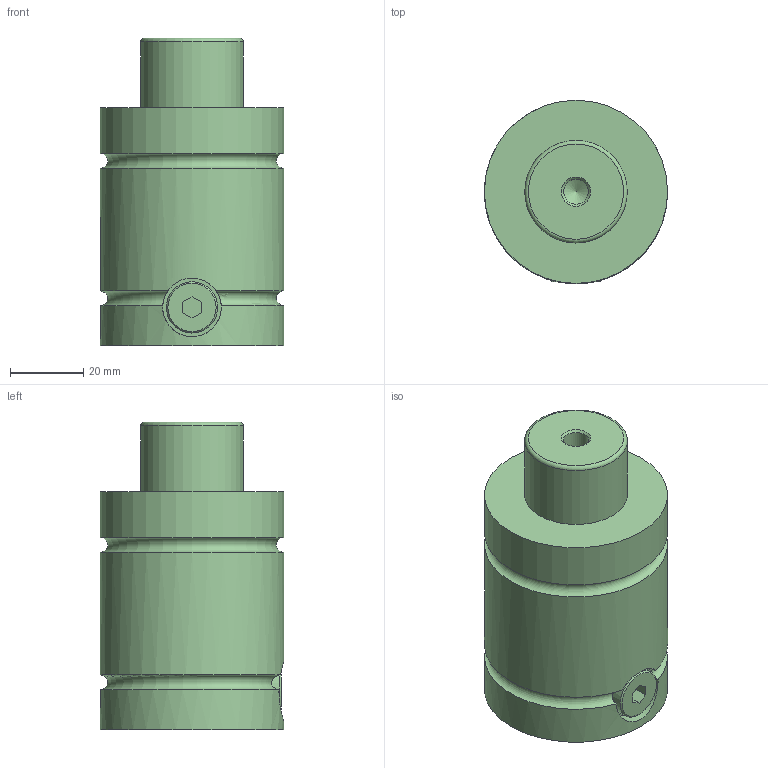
import cadquery as cq
import math

body_diameter = 50.0
body_height = 65.0
body_radius = body_diameter / 2

groove_radius = 2.0
groove_heights = (13.0, 50.5)

rod_diameter = 28.0
total_height = 84.0
rod_length = total_height - body_height
rod_edge_radius = 1.0

thread_core_diameter = 6.8
thread_mouth_diameter = 8.0
thread_hole_depth = 16.0
drill_point_angle = 118.0

port_height = 10.5
port_diameter = 16.0
port_floor_depth = 4.0
plug_diameter = 14.0
plug_recess = 0.6
plug_chamfer = 0.4
socket_across_flats = 5.0
socket_depth = 4.0


def make_body():
    """Plain cylinder with a semicircular groove at each groove height."""
    body = cq.Workplane("XY").circle(body_radius).extrude(body_height)
    for height in groove_heights:
        ring = cq.Solid.makeTorus(body_radius, groove_radius, cq.Vector(0, 0, height))
        body = body.cut(cq.Workplane(obj=ring))
    return body


def make_rod():
    """Piston rod with a rounded top edge."""
    rod = cq.Workplane("XY").workplane(offset=body_height).circle(rod_diameter / 2).extrude(rod_length)
    return rod.faces(">Z").edges().fillet(rod_edge_radius)


def make_thread_hole():
    """Cutter for the rod-end hole: 45 degree mouth, straight core and conical point."""
    core_radius = thread_core_diameter / 2
    mouth_radius = thread_mouth_diameter / 2
    mouth_depth = mouth_radius - core_radius
    point_length = core_radius / math.tan(math.radians(drill_point_angle / 2))
    core_bottom = total_height - thread_hole_depth
    return (
        cq.Workplane("XZ")
        .moveTo(0, total_height)
        .lineTo(mouth_radius, total_height)
        .lineTo(core_radius, total_height - mouth_depth)
        .lineTo(core_radius, core_bottom)
        .lineTo(0, core_bottom - point_length)
        .close()
        .revolve(360, (0, 0, 0), (0, 1, 0))
    )


def port_plane(depth):
    """Plane facing -Y on the port axis, the given depth inside the body's -Y side."""
    origin = (0, depth - body_radius, port_height)
    return cq.Workplane(cq.Plane(origin=origin, xDir=(1, 0, 0), normal=(0, -1, 0)))


def make_port_bore():
    """Cutter for the port, from its flat floor out to the body's -Y side."""
    return port_plane(port_floor_depth).circle(port_diameter / 2).extrude(port_floor_depth)


def make_plug():
    """Chamfered plug rising from the port floor, with a blind hexagon socket."""
    plug_length = port_floor_depth - plug_recess
    plug = port_plane(port_floor_depth).circle(plug_diameter / 2).extrude(plug_length)
    return plug.faces("<Y").edges().chamfer(plug_chamfer)


def make_socket():
    """Hexagonal cutter with two corners pointing along Z."""
    across_corners = socket_across_flats / math.cos(math.radians(30))
    socket = port_plane(plug_recess).transformed(rotate=(0, 0, 90))
    return socket.polygon(6, across_corners).extrude(-socket_depth)


result = (
    make_body()
    .union(make_rod())
    .cut(make_thread_hole())
    .cut(make_port_bore())
    .union(make_plug())
    .cut(make_socket())
)